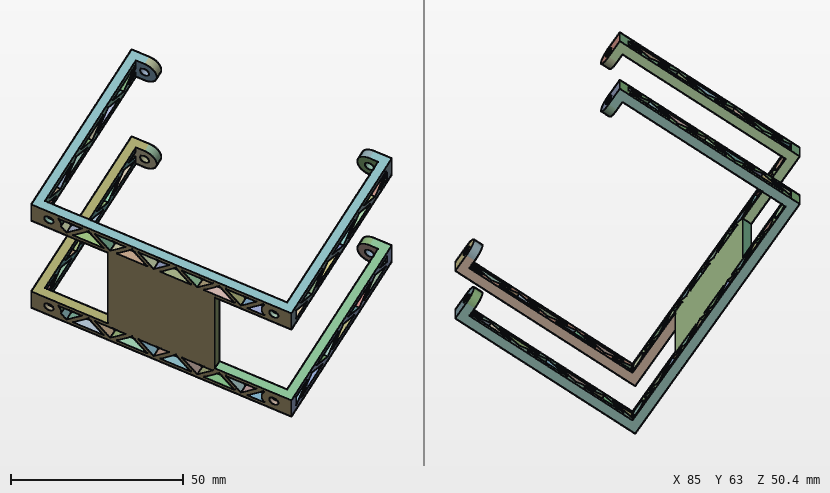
import cadquery as cq
import math

width = 85.0
depth = 63.0
height = 50.4

wall = 3.0
bar_height = 8.0
bar_z = (height - bar_height) / 2
bar_bottom = height / 2 - bar_height
bar_z_range = (bar_bottom, height / 2)

hole_diameter = 3.0
hole_x = width / 2 - 5.8
eye_radius = bar_height / 2
counterbore_diameter = 5.5
counterbore_depth = wall / 2

plate_width = 35.0

strut = wall / 2

front_window_height = 5.0
front_angle = 45.0
front_apex_x = -2.5
front_downward_count = 5

arm_window_height = 4.0
arm_window_offset = 0.1
arm_angle = 30.0
arm_window_start = wall
arm_window_end = depth - wall
arm_upward_count = 4


def box(x_range, y_range, z_range):
    """Axis-aligned box from its limits along X, Y and Z."""
    size = [limits[1] - limits[0] for limits in (x_range, y_range, z_range)]
    corner = (x_range[0], y_range[0], z_range[0])
    return cq.Workplane("XY").box(*size, centered=False).translate(corner)


def half_pitch(window_height, angle):
    """Distance along the bar from an upward tip to the next downward tip."""
    slope = math.radians(angle)
    return window_height / math.tan(slope) + strut / math.sin(slope)


def triangle(plane, tip, middle, window_height, angle, direction, length):
    """Triangular prism; direction +1 points its tip up, -1 points it down."""
    half_base = window_height / math.tan(math.radians(angle))
    tip_z = middle + direction * window_height / 2
    base_z = middle - direction * window_height / 2
    outline = [(tip, tip_z), (tip - half_base, base_z), (tip + half_base, base_z)]
    return cq.Workplane(plane).polyline(outline).close().extrude(length)


def hole_cylinder(x, radius, y_start, length):
    """Cylinder along Y at the height of the upper frame."""
    plane = cq.Workplane("XZ", origin=(x, y_start, bar_z))
    return plane.circle(radius).extrude(-length)


def truss_windows(plane, first_tip, tip_count, first_direction, middle, window_height, angle, length):
    """Alternating up and down triangles along a bar."""
    step = half_pitch(window_height, angle)
    windows = cq.Workplane(plane)
    for index in range(tip_count):
        direction = first_direction * (-1) ** index
        tip = first_tip + index * step
        windows = windows.add(triangle(plane, tip, middle, window_height, angle, direction, length))
    return windows.combine()


def front_windows():
    """Front bar openings, trimmed by the round eyes at both screw holes."""
    step = half_pitch(front_window_height, front_angle)
    first_tip = front_apex_x - (front_downward_count - 1) * step
    windows = truss_windows(
        "XZ", first_tip, 2 * front_downward_count, -1, bar_z, front_window_height, front_angle, -wall
    )
    windows = windows.intersect(box((-hole_x, hole_x), (0, wall), bar_z_range))
    for x in (-hole_x, hole_x):
        windows = windows.cut(hole_cylinder(x, eye_radius, 0, wall))
    return windows


def arm_windows():
    """Openings through both arms, trimmed at the front bar and at the tabs."""
    windows = truss_windows(
        "YZ", arm_window_start, 2 * arm_upward_count - 1, 1, bar_z - arm_window_offset,
        arm_window_height, arm_angle, width,
    ).translate((-width / 2, 0, 0))
    limits = (arm_window_start, arm_window_end)
    return windows.intersect(box((-width / 2, width / 2), limits, bar_z_range))


def upper_frame():
    """U-shaped frame with pierced arms and inward rounded tabs at the arm ends."""
    inner_x = width / 2 - wall
    frame = box((-width / 2, width / 2), (0, depth), bar_z_range)
    frame = frame.cut(box((-hole_x, hole_x), (wall, depth), bar_z_range))
    frame = frame.cut(box((-inner_x, inner_x), (wall, depth - wall), bar_z_range))
    frame = frame.cut(arm_windows())
    for x in (-hole_x, hole_x):
        frame = frame.union(hole_cylinder(x, eye_radius, depth - wall, wall))
        frame = frame.cut(hole_cylinder(x, hole_diameter / 2, 0, depth))
        recess_start = wall - counterbore_depth
        frame = frame.cut(hole_cylinder(x, counterbore_diameter / 2, recess_start, counterbore_depth))
    return frame


plate = box((-plate_width / 2, plate_width / 2), (0, wall), (-bar_bottom, bar_bottom))

frame = upper_frame()
result = frame.union(frame.mirror("XY")).union(plate)
for drop in (0, 2 * bar_z):
    result = result.cut(front_windows().translate((0, 0, -drop)))